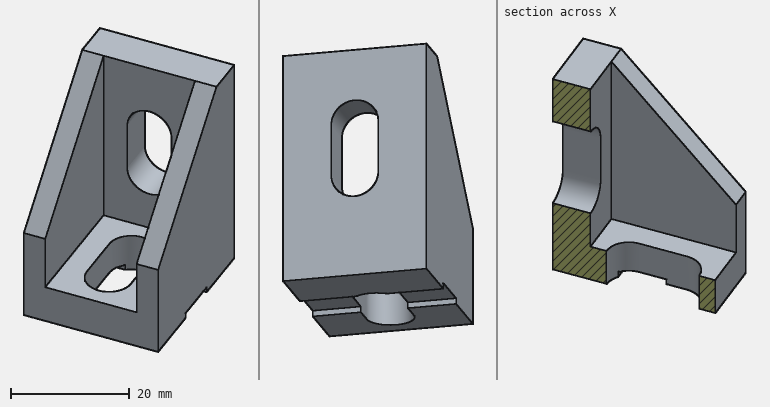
import cadquery as cq

width = 25.0
depth = 30.0
height = 40.0

side_wall = 4.0
plate = 7.0
front_height = 17.0

slot_width = 8.2
slot_length = 17.05
back_slot_height = 22.5
floor_slot_inset = 11.5

groove_width = 8.2
groove_depth = 1.0



def make_body():
    """Side profile with a sloping front edge, extruded across the width."""
    profile = [
        (0, 0),
        (depth, 0),
        (depth, height),
        (depth - plate, height),
        (0, front_height),
    ]
    return cq.Workplane("YZ").polyline(profile).close().extrude(width / 2, both=True)


def make_channel():
    """Space between the side walls, above the floor and ahead of the back plate."""
    return cq.Workplane("XY").box(
        width - 2 * side_wall, depth - plate, height - plate, centered=(True, False, False)
    ).translate((0, 0, plate))


def make_floor_slot():
    """Slot through the floor, running front to back."""
    return (
        cq.Workplane("XY")
        .center(0, floor_slot_inset)
        .slot2D(slot_length, slot_width, 90)
        .extrude(plate)
    )


def make_back_slot():
    """Slot through the back plate, running vertically."""
    return (
        cq.Workplane("XZ", origin=(0, depth, 0))
        .center(0, back_slot_height)
        .slot2D(slot_length, slot_width, 90)
        .extrude(plate)
    )


def make_groove():
    """Shallow groove across the full width of the underside."""
    return cq.Workplane("XY").box(
        width, groove_width, groove_depth, centered=(True, True, False)
    ).translate((0, depth / 2, 0))


result = (
    make_body()
    .cut(make_channel())
    .cut(make_floor_slot())
    .cut(make_back_slot())
    .cut(make_groove())
)